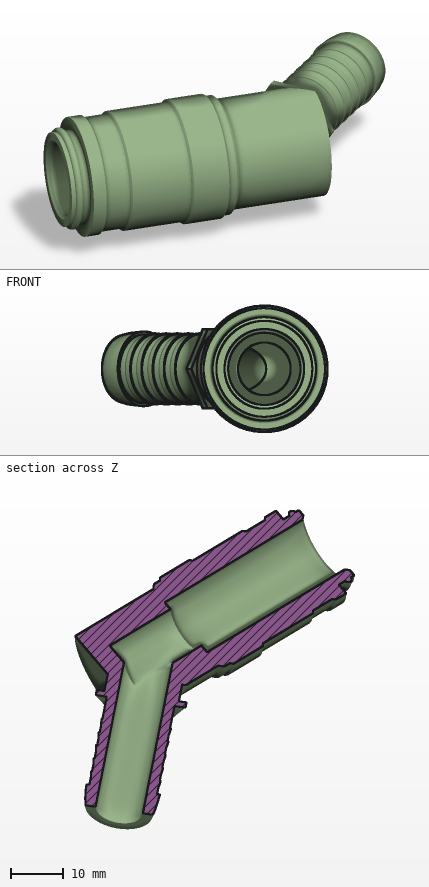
import cadquery as cq
import math


spigot_radius = 9.1
collar_start = 3.6
collar_end = 6.15
groove_radius = 11.0
groove_end = 10.95
sleeve_radius = 11.5
band_start = 22.95
band_radius = 12.0
band_end = 30.7
sleeve_end = 32.75
sleeve_chamfer = 0.7
edge_slope = 0.4
barrel_radius = 10.65
body_length = 51.05

ring_position = 1.5
ring_section_radius = 0.7

mouth_radius = 7.55
bore_radius = 6.85
bore_depth = sleeve_end
passage_radius = 5.0
passage_depth = 46.9

tail_angle = 45.0
elbow_position = 40.9
flat_offset = 7.2
stub_radius = 7.2
stub_length = 3.7
hex_sides = 6
hex_across_flats = 15.0
hex_thickness = 1.3
neck_length = 5.0
shank_radius = 6.55
barb_count = 5
barb_pitch = 3.0
barb_height = 0.2
tip_radius = 6.5
bulb_length = 4.85
bulb_radius = 7.1
bulb_middle_radius = 6.95
tail_bore_radius = 4.5

hex_end = stub_length + hex_thickness
barbs_start = hex_end + neck_length
bulb_start = barbs_start + barb_count * barb_pitch
tail_length = bulb_start + bulb_length

tail_angle_radians = math.radians(tail_angle)
tail_direction = (-math.sin(tail_angle_radians), math.cos(tail_angle_radians), 0)
tail_across = (math.cos(tail_angle_radians), math.sin(tail_angle_radians), 0)
elbow_plane = cq.Plane(origin=(0, elbow_position, 0), xDir=tail_across, normal=tail_direction)
flat_plane = cq.Plane(
    origin=elbow_plane.toWorldCoords((0, 0, flat_offset)).toTuple(),
    xDir=tail_across,
    normal=tail_direction,
)


def spin(profile):
    """Revolve an XY half profile about the Y axis."""
    return profile.close().revolve(360, (0, 0, 0), (0, 1, 0))


def body_outside():
    profile = (
        cq.Workplane("XY")
        .lineTo(spigot_radius, 0)
        .lineTo(spigot_radius, collar_start)
        .lineTo(sleeve_radius, collar_start)
        .lineTo(sleeve_radius, collar_end)
        .lineTo(groove_radius, collar_end + edge_slope)
        .lineTo(groove_radius, groove_end)
        .lineTo(sleeve_radius, groove_end + edge_slope)
        .lineTo(sleeve_radius, band_start)
        .lineTo(band_radius, band_start + edge_slope)
        .lineTo(band_radius, band_end - edge_slope)
        .lineTo(sleeve_radius, band_end)
        .lineTo(sleeve_radius, sleeve_end - sleeve_chamfer)
        .lineTo(sleeve_radius - sleeve_chamfer, sleeve_end)
        .lineTo(barrel_radius, sleeve_end)
        .lineTo(barrel_radius, body_length)
        .lineTo(0, body_length)
    )
    return spin(profile)


def snap_ring():
    """Bead of round section centred on the spigot surface."""
    section = cq.Workplane("XY").center(spigot_radius, ring_position).circle(ring_section_radius)
    return section.revolve(360, (-spigot_radius, 0, 0), (-spigot_radius, 1, 0))


def flat_cutter():
    """Everything beyond the slanted flat that carries the tail."""
    size = 2 * body_length
    return cq.Workplane(flat_plane).rect(size, size).extrude(size)


def body_bores():
    mouth_chamfer = mouth_radius - bore_radius
    profile = (
        cq.Workplane("XY")
        .lineTo(mouth_radius, 0)
        .lineTo(bore_radius, mouth_chamfer)
        .lineTo(bore_radius, bore_depth)
        .lineTo(passage_radius, bore_depth)
        .lineTo(passage_radius, passage_depth)
        .lineTo(0, passage_depth)
    )
    return spin(profile)


def tail_outside():
    """Stub, shank, barbs and bulbous tip as one turned shape."""
    turning_plane = cq.Plane(origin=flat_plane.origin.toTuple(), xDir=tail_across, normal=(0, 0, 1))
    profile = (
        cq.Workplane(turning_plane)
        .lineTo(stub_radius, 0)
        .lineTo(stub_radius, hex_end)
        .lineTo(shank_radius, hex_end)
    )
    for index in range(barb_count):
        barb_base = barbs_start + index * barb_pitch
        profile = (
            profile.lineTo(shank_radius, barb_base)
            .lineTo(shank_radius + barb_height, barb_base)
            .lineTo(shank_radius, barb_base + barb_pitch / 2)
        )
    profile = (
        profile.lineTo(shank_radius, bulb_start)
        .lineTo(bulb_radius, bulb_start)
        .threePointArc((bulb_middle_radius, bulb_start + bulb_length / 2), (tip_radius, tail_length))
        .lineTo(0, tail_length)
    )
    return spin(profile)


def hex_flange():
    across_corners = hex_across_flats / math.cos(math.pi / hex_sides)
    return (
        cq.Workplane(flat_plane)
        .workplane(offset=stub_length)
        .polygon(hex_sides, across_corners)
        .extrude(hex_thickness)
    )


def tail_bore():
    """Straight bore from the elbow out through the tip."""
    return cq.Workplane(elbow_plane).circle(tail_bore_radius).extrude(flat_offset + tail_length)


body = body_outside().union(snap_ring()).cut(flat_cutter())
tail = tail_outside().union(hex_flange())
result = body.union(tail).cut(body_bores()).cut(tail_bore())